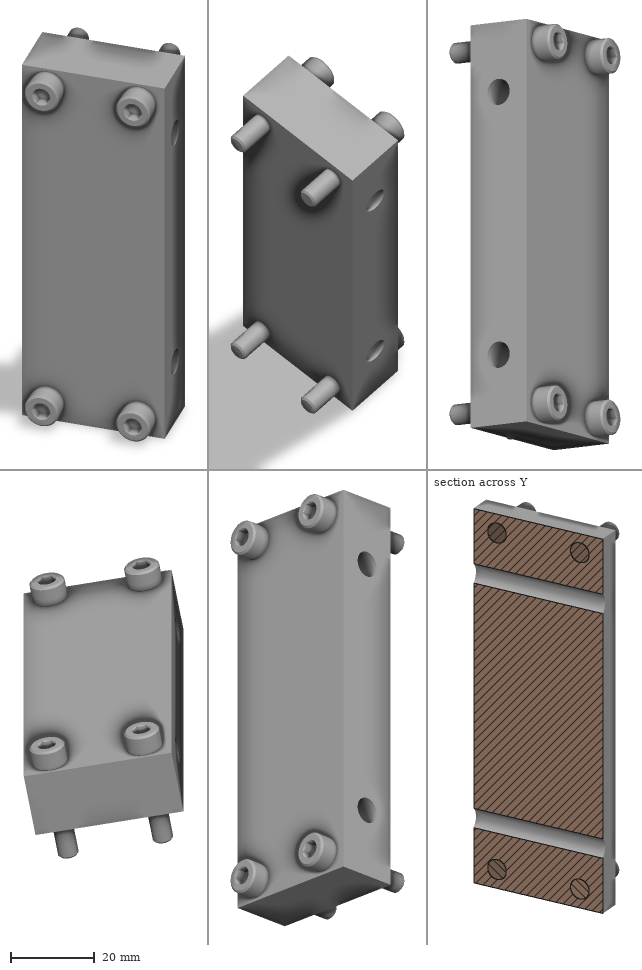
import cadquery as cq
import math

BLOCK_WIDTH = 36.0
BLOCK_THICKNESS = 16.0
BLOCK_HEIGHT = 98.0

CROSS_HOLE_DIAMETER = 6.4
CROSS_HOLE_SPACING = 64.0

SCREW_SPACING_X = 23.0
SCREW_SPACING_Z = 88.0

SHANK_DIAMETER = 5.0
SHANK_LENGTH = 25.0
SHANK_TIP_CHAMFER = 0.5
HEAD_DIAMETER = 8.5
HEAD_HEIGHT = 5.0
HEAD_TOP_CHAMFER = 0.5
HEAD_SEAT_CHAMFER = 0.15
SOCKET_SIDES = 6
SOCKET_ACROSS_FLATS = 4.0
SOCKET_DEPTH = 2.5
SOCKET_POINT_ANGLE = 120.0

FRONT_Y = -BLOCK_THICKNESS / 2
SOCKET_ACROSS_CORNERS = SOCKET_ACROSS_FLATS / math.cos(math.pi / SOCKET_SIDES)

SCREW_POSITIONS = [
    (x, z)
    for x in (-SCREW_SPACING_X / 2, SCREW_SPACING_X / 2)
    for z in (-SCREW_SPACING_Z / 2, SCREW_SPACING_Z / 2)
]


def make_block():
    """Rectangular block with two cross holes and four screw holes."""
    block = cq.Workplane("XY").box(BLOCK_WIDTH, BLOCK_THICKNESS, BLOCK_HEIGHT)
    cross_holes = (
        cq.Workplane("YZ")
        .pushPoints([(0, -CROSS_HOLE_SPACING / 2), (0, CROSS_HOLE_SPACING / 2)])
        .circle(CROSS_HOLE_DIAMETER / 2)
        .extrude(BLOCK_WIDTH, both=True)
    )
    screw_holes = (
        cq.Workplane("XZ")
        .pushPoints(SCREW_POSITIONS)
        .circle(SHANK_DIAMETER / 2)
        .extrude(BLOCK_THICKNESS, both=True)
    )
    return block.cut(cross_holes).cut(screw_holes)


def make_socket():
    """Hexagonal socket with a conical bottom and a conical entry, open at the head top."""
    hexagon = (
        cq.Workplane("XZ", origin=(0, -HEAD_HEIGHT, 0))
        .polygon(SOCKET_SIDES, SOCKET_ACROSS_CORNERS)
        .extrude(-SOCKET_DEPTH)
    )
    point_radius = SOCKET_ACROSS_FLATS / 2
    point_length = point_radius / math.tan(math.radians(SOCKET_POINT_ANGLE / 2))
    point = cq.Workplane(
        cq.Solid.makeCone(
            point_radius,
            0,
            point_length,
            pnt=cq.Vector(0, SOCKET_DEPTH - HEAD_HEIGHT, 0),
            dir=cq.Vector(0, 1, 0),
        )
    )
    entry_radius = SOCKET_ACROSS_CORNERS / 2
    entry = cq.Workplane(
        cq.Solid.makeCone(
            entry_radius,
            0,
            entry_radius,
            pnt=cq.Vector(0, -HEAD_HEIGHT, 0),
            dir=cq.Vector(0, 1, 0),
        )
    )
    return hexagon.union(point).union(entry)


def make_screw():
    """Cap screw along Y, with the seat of its head at the origin and its tip toward +Y."""
    head = (
        cq.Workplane("XZ")
        .circle(HEAD_DIAMETER / 2)
        .extrude(HEAD_HEIGHT)
        .faces("<Y")
        .chamfer(HEAD_TOP_CHAMFER)
        .faces(">Y")
        .chamfer(HEAD_SEAT_CHAMFER)
    )
    shank = (
        cq.Workplane("XZ")
        .circle(SHANK_DIAMETER / 2)
        .extrude(-SHANK_LENGTH)
        .faces(">Y")
        .chamfer(SHANK_TIP_CHAMFER)
    )
    return head.union(shank).cut(make_socket())


block = make_block()
screw = make_screw()
screws = [screw.translate((x, FRONT_Y, z)) for x, z in SCREW_POSITIONS]

result = cq.Compound.makeCompound([block.val(), *[copy.val() for copy in screws]])